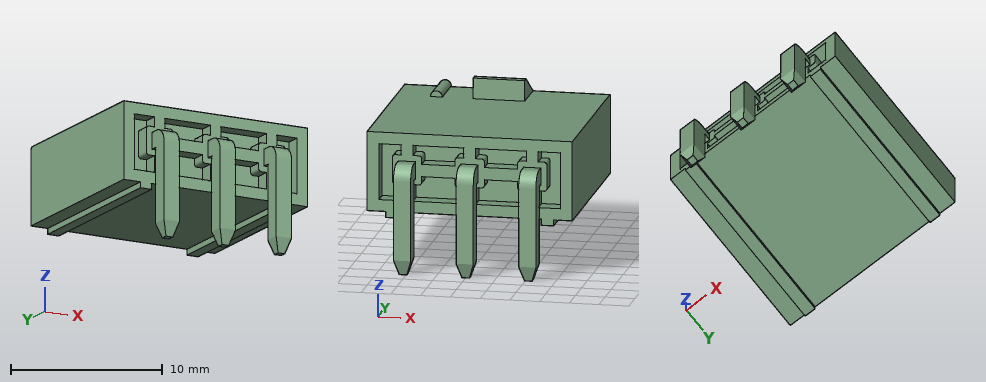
import cadquery as cq
import math


OVERALL_DEPTH = 14.47
HOUSING_WIDTH = 13.8
HOUSING_DEPTH = 12.8
HOUSING_HEIGHT = 5.4

FEET_SPAN = 11.3
FOOT_WIDTH = 0.84
FOOT_HEIGHT = 0.4

FRAME_WALL = 0.8
RECESS_DEPTH = 1.1
BLOCK_SIZE = 1.98
BLOCK_CORNER_RADIUS = 0.2
WEB_WIDTH = 0.8
TIE_BAR_HEIGHT = 0.84

PIN_PITCH = 4.21
PIN_SIZE = 1.16
PIN_AXIS_Z = 2.92
PIN_REACH = OVERALL_DEPTH - HOUSING_DEPTH
PIN_BEND_RADIUS = 1.0
PIN_DROP = 3.89
TIP_LENGTH = 1.01
TIP_SIZE = 0.5
PIN_POSITIONS = [-PIN_PITCH, 0, PIN_PITCH]

LATCH_WIDTH = 3.46
LATCH_LENGTH = 3.01
LATCH_HEIGHT = 1.4
LATCH_FLAT = 0.5
KEY_RIB_RADIUS = 0.4
KEY_RIB_X = -PIN_PITCH

BEVEL_RUN = 0.17
RAMP_RUN = LATCH_LENGTH - LATCH_FLAT - BEVEL_RUN
RAMP_ANGLE = math.atan2(LATCH_HEIGHT, RAMP_RUN)
BEVEL_DROP = BEVEL_RUN * math.tan(RAMP_ANGLE)


def box(width, depth, height, x, y, z):
    """Box centred on x, starting at y, centred on z."""
    return cq.Workplane("XY").box(width, depth, height, centered=(True, False, True)).translate((x, y, z))


def make_housing():
    """Main block with its bevelled rear top edge, extruded across X."""
    return (
        cq.Workplane("YZ")
        .moveTo(0, 0)
        .lineTo(HOUSING_DEPTH, 0)
        .lineTo(HOUSING_DEPTH, HOUSING_HEIGHT - BEVEL_DROP)
        .lineTo(HOUSING_DEPTH - BEVEL_RUN, HOUSING_HEIGHT)
        .lineTo(0, HOUSING_HEIGHT)
        .close()
        .extrude(HOUSING_WIDTH / 2, both=True)
    )


def make_recess():
    """Material removed from the front face around the pin supports."""
    recess_width = HOUSING_WIDTH - 2 * FRAME_WALL
    recess_height = HOUSING_HEIGHT - 2 * FRAME_WALL
    middle_z = HOUSING_HEIGHT / 2
    recess = box(recess_width, RECESS_DEPTH, recess_height, 0, 0, middle_z)
    supports = box(2 * PIN_PITCH, RECESS_DEPTH, TIE_BAR_HEIGHT, 0, 0, PIN_AXIS_Z)
    for x in PIN_POSITIONS:
        block = box(BLOCK_SIZE, RECESS_DEPTH, BLOCK_SIZE, x, 0, PIN_AXIS_Z)
        web = box(WEB_WIDTH, RECESS_DEPTH, recess_height, x, 0, middle_z)
        supports = supports.union(block.edges("|Y").fillet(BLOCK_CORNER_RADIUS)).union(web)
    return recess.cut(supports)


def make_foot(side):
    """Rail under one side: side is -1 for left, 1 for right."""
    x = side * (FEET_SPAN - FOOT_WIDTH) / 2
    return box(FOOT_WIDTH, HOUSING_DEPTH, FOOT_HEIGHT, x, 0, -FOOT_HEIGHT / 2)


def make_latch():
    """Wedge rising from the rear bevel to a narrow flat with an upright front."""
    front_y = HOUSING_DEPTH - LATCH_LENGTH
    top_z = HOUSING_HEIGHT + LATCH_HEIGHT
    root_z = HOUSING_HEIGHT - BEVEL_DROP
    return (
        cq.Workplane("YZ")
        .moveTo(front_y, root_z)
        .lineTo(front_y, top_z)
        .lineTo(front_y + LATCH_FLAT, top_z)
        .lineTo(HOUSING_DEPTH, root_z)
        .close()
        .extrude(LATCH_WIDTH / 2, both=True)
    )


def make_key_rib():
    """Half-round rib on the top face, as long as the latch and flush with the rear."""
    return (
        cq.Workplane("XZ", origin=(KEY_RIB_X, HOUSING_DEPTH, HOUSING_HEIGHT))
        .moveTo(-KEY_RIB_RADIUS, 0)
        .threePointArc((0, KEY_RIB_RADIUS), (KEY_RIB_RADIUS, 0))
        .close()
        .extrude(LATCH_LENGTH)
    )


def make_pin(x):
    """Square pin leaving the front face, bent down and tapered at its tip."""
    top_z = PIN_AXIS_Z + PIN_SIZE / 2
    taper_z = TIP_LENGTH - PIN_DROP
    leg_height = top_z - taper_z
    leg_y = PIN_SIZE / 2 - PIN_REACH
    leg = box(PIN_SIZE, PIN_SIZE, leg_height, x, -PIN_REACH, top_z - leg_height / 2)
    shank = box(PIN_SIZE, PIN_REACH, PIN_SIZE, x, -PIN_REACH, PIN_AXIS_Z)
    bent = leg.union(shank).edges("|X and >Z and <Y").fillet(PIN_BEND_RADIUS)
    tip = (
        cq.Workplane("XY", origin=(x, leg_y, taper_z))
        .rect(PIN_SIZE, PIN_SIZE)
        .workplane(offset=-TIP_LENGTH)
        .rect(TIP_SIZE, TIP_SIZE)
        .loft(ruled=True)
    )
    return bent.union(tip)


result = make_housing().cut(make_recess()).union(make_latch()).union(make_key_rib())
for side in (-1, 1):
    result = result.union(make_foot(side))
for pin_x in PIN_POSITIONS:
    result = result.union(make_pin(pin_x))